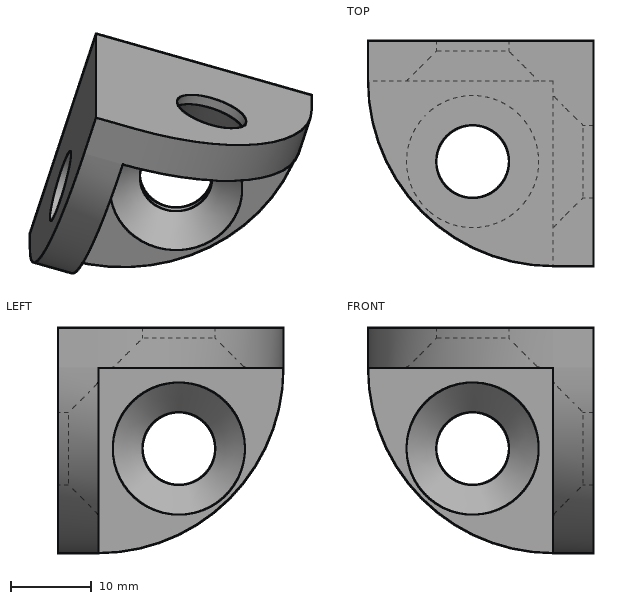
import cadquery as cq
import math

side = 28.0
thickness = 5.0
corner_radius = side - thickness

hole_offset = 15.0
hole_diameter = 9.0
countersink_diameter = 16.4
countersink_angle = 90.0

outer_faces = ("YX", "XZ", "ZY")


def make_plate(face):
    """Square plate with the corner opposite the origin rounded."""
    mid_arc = -thickness - corner_radius * math.sqrt(0.5)
    return (
        cq.Workplane(face)
        .lineTo(-side, 0)
        .lineTo(-side, -thickness)
        .threePointArc((mid_arc, mid_arc), (-thickness, -side))
        .lineTo(0, -side)
        .close()
        .extrude(thickness)
    )


def drill_plate(body, face):
    """Screw hole countersunk from the inner face of the plate."""
    inner_face = cq.Workplane(face).workplane(offset=thickness)
    return (
        body.copyWorkplane(inner_face)
        .center(-hole_offset, -hole_offset)
        .cskHole(hole_diameter, countersink_diameter, countersink_angle)
    )


result = make_plate(outer_faces[0])
for outer_face in outer_faces[1:]:
    result = result.union(make_plate(outer_face))

for outer_face in outer_faces:
    result = drill_plate(result, outer_face)